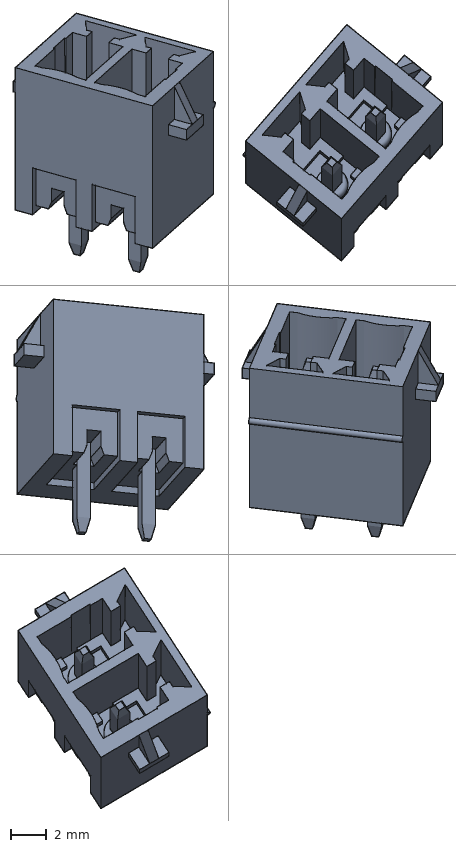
import cadquery as cq


pole_count = 2
pitch = 3.81
body_width = 8.8
body_depth = 7.0
body_height = 9.2
front_y = -2.8
back_y = front_y + body_depth

cavity_floor_z = 3.0
cavity_width = 3.23
cavity_front_y = front_y + 0.71
cavity_back_y = front_y + 5.0
bulge_chord = 2.3
bulge_height = 0.19
neck_width = 1.42
dovetail_front_y = front_y + 5.62
dovetail_back_y = front_y + 6.48
dovetail_front_width = 2.11
back_wall_draft = 0.03

sink_depth = 0.5
sink_floor_z = cavity_floor_z - sink_depth
sink_width = 2.02
sink_back_y = front_y + 4.52
cross_slot_width = 1.03
collar_diameter = 1.8
collar_height = sink_depth
collar_round = 0.2

relief_depth = 0.08
relief_front_y = front_y + 2.98
relief_back_y = front_y + 4.22

front_recess_width = 2.77
front_recess_height = 3.03
front_recess_depth = 0.41
under_recess_height = 0.4
pin_slot_height = 1.79
slot_flare_width = 1.19
slot_flare_top_z = 0.89

latch_reach = 1.155
tab_bottom_z = 6.39
tab_thickness = 0.68
tab_front_y = front_y + 1.83
tab_width = 1.93
brace_front_y = front_y + 2.5
brace_width = 0.6

ridge_radius = 0.2
ridge_z = 5.74

pin_size = 0.8
pin_end_size = 0.4
pin_bottom_z = -3.5
pin_top_z = 7.5
pin_bottom_taper = 0.8
pin_top_taper = 0.8

pole_xs = [(i - (pole_count - 1) / 2) * pitch for i in range(pole_count)]


def box_between(x_min, x_max, y_min, y_max, z_min, z_max):
    size = (x_max - x_min, y_max - y_min, z_max - z_min)
    return cq.Workplane("XY").box(*size, centered=False).translate((x_min, y_min, z_min))


def pole_box(width, y_min, y_max, z_min, z_max):
    """Box centred on the pole in X."""
    return box_between(-width / 2, width / 2, y_min, y_max, z_min, z_max)


def draft_wedge(width, depth):
    """Wedge against the plane Y = 0: full depth at the cavity mouth, nothing at the cavity floor."""
    profile = [(0, cavity_floor_z), (0, body_height), (depth, body_height)]
    return cq.Workplane("YZ").polyline(profile).close().extrude(width / 2, both=True)


def cavity():
    """Space open to the top: plug chamber with a bulged front wall, neck and dovetail keyway."""
    half_cavity = cavity_width / 2
    half_neck = neck_width / 2
    half_dovetail = dovetail_front_width / 2
    half_bulge = bulge_chord / 2
    chamber = (
        cq.Workplane("XY", origin=(0, 0, cavity_floor_z))
        .moveTo(-half_cavity, cavity_front_y)
        .lineTo(-half_bulge, cavity_front_y)
        .threePointArc((0, cavity_front_y + bulge_height), (half_bulge, cavity_front_y))
        .lineTo(half_cavity, cavity_front_y)
        .lineTo(half_cavity, cavity_back_y)
        .lineTo(half_neck, cavity_back_y)
        .lineTo(half_neck, dovetail_front_y)
        .lineTo(half_dovetail, dovetail_front_y)
        .lineTo(half_cavity, dovetail_back_y)
        .lineTo(-half_cavity, dovetail_back_y)
        .lineTo(-half_dovetail, dovetail_front_y)
        .lineTo(-half_neck, dovetail_front_y)
        .lineTo(-half_neck, cavity_back_y)
        .lineTo(-half_cavity, cavity_back_y)
        .close()
        .extrude(body_height - cavity_floor_z)
    )
    back_draft = draft_wedge(cavity_width, back_wall_draft).translate((0, dovetail_back_y, 0))
    return chamber.union(back_draft)


def floor_sink():
    """Cross-shaped sink below the cavity floor that leaves a rounded collar standing around the pin."""
    centre = pole_box(sink_width, cavity_front_y, sink_back_y, sink_floor_z, cavity_floor_z)
    cross = pole_box(
        cavity_width, -cross_slot_width / 2, cross_slot_width / 2, sink_floor_z, cavity_floor_z
    )
    front_wall = (
        cq.Workplane("XY", origin=(0, 0, sink_floor_z))
        .moveTo(-bulge_chord / 2, cavity_front_y)
        .threePointArc((0, cavity_front_y + bulge_height), (bulge_chord / 2, cavity_front_y))
        .close()
        .extrude(sink_depth)
    )
    collar = (
        cq.Workplane("XY", origin=(0, 0, sink_floor_z))
        .circle(collar_diameter / 2)
        .extrude(collar_height)
        .faces(">Z")
        .edges()
        .fillet(collar_round)
    )
    return centre.union(cross).cut(front_wall).cut(collar)


def underside_opening():
    """Front recess, shallow recess below the pole and flared slot that leads back to the pin."""
    recess_y = front_y + front_recess_depth
    front_recess = pole_box(front_recess_width, front_y, recess_y, 0, front_recess_height)
    under_recess = pole_box(front_recess_width, front_y, cavity_back_y, 0, under_recess_height)
    slot_depth = -pin_size / 2 - front_y
    half_slot = pin_size / 2
    half_flare = slot_flare_width / 2
    slot = (
        cq.Workplane("XZ", origin=(0, front_y, 0))
        .polyline([
            (-half_flare, under_recess_height),
            (-half_slot, slot_flare_top_z),
            (-half_slot, pin_slot_height),
            (half_slot, pin_slot_height),
            (half_slot, slot_flare_top_z),
            (half_flare, under_recess_height),
        ])
        .close()
        .extrude(-slot_depth)
    )
    return front_recess.union(under_recess).union(slot)


def latch():
    """Latch on the +X end."""
    end_x = body_width / 2
    tip_x = end_x + latch_reach
    tab_top_z = tab_bottom_z + tab_thickness
    tab = box_between(end_x, tip_x, tab_front_y, tab_front_y + tab_width, tab_bottom_z, tab_top_z)
    brace = (
        cq.Workplane("XZ", origin=(0, brace_front_y, 0))
        .polyline([(end_x, tab_top_z), (tip_x, tab_top_z), (end_x, body_height)])
        .close()
        .extrude(-brace_width)
    )
    return tab.union(brace)


def side_relief():
    """Tapered relief in the +X wall of the last cavity."""
    wall_x = pole_xs[-1] + cavity_width / 2
    relief_y = (relief_front_y + relief_back_y) / 2
    wedge = draft_wedge(relief_back_y - relief_front_y, relief_depth)
    return wedge.rotate((0, 0, 0), (0, 0, 1), -90).translate((wall_x, relief_y, 0))


def back_ridge():
    return (
        cq.Workplane("YZ")
        .moveTo(back_y, ridge_z - ridge_radius)
        .threePointArc((back_y + ridge_radius, ridge_z), (back_y, ridge_z + ridge_radius))
        .close()
        .extrude(body_width / 2, both=True)
    )


def pin_taper(base_z, length):
    """Four-sided taper from the pin section at base_z; a negative length points down."""
    return (
        cq.Workplane("XY", origin=(0, 0, base_z))
        .rect(pin_size, pin_size)
        .workplane(offset=length)
        .rect(pin_end_size, pin_end_size)
        .loft(ruled=True)
    )


def make_pin():
    shank_bottom_z = pin_bottom_z + pin_bottom_taper
    shank_top_z = pin_top_z - pin_top_taper
    half_size = pin_size / 2
    shank = pole_box(pin_size, -half_size, half_size, shank_bottom_z, shank_top_z)
    top_tip = pin_taper(shank_top_z, pin_top_taper)
    bottom_tip = pin_taper(shank_bottom_z, -pin_bottom_taper)
    return shank.union(top_tip).union(bottom_tip)


def make_housing(pin_bodies):
    half_width = body_width / 2
    block = box_between(-half_width, half_width, front_y, back_y, 0, body_height).union(back_ridge())
    pole_cut = cavity().union(floor_sink()).union(underside_opening())
    for x in pole_xs:
        block = block.cut(pole_cut.translate((x, 0, 0)))
    for feature in (latch(), latch().mirror("YZ")):
        block = block.union(feature)
    for feature in (side_relief(), side_relief().mirror("YZ")):
        block = block.cut(feature)
    for pin in pin_bodies:
        block = block.cut(pin)
    return block


pins = [make_pin().translate((x, 0, 0)) for x in pole_xs]
housing = make_housing(pins)

result = cq.Compound.makeCompound([housing.val(), *[pin.val() for pin in pins]])